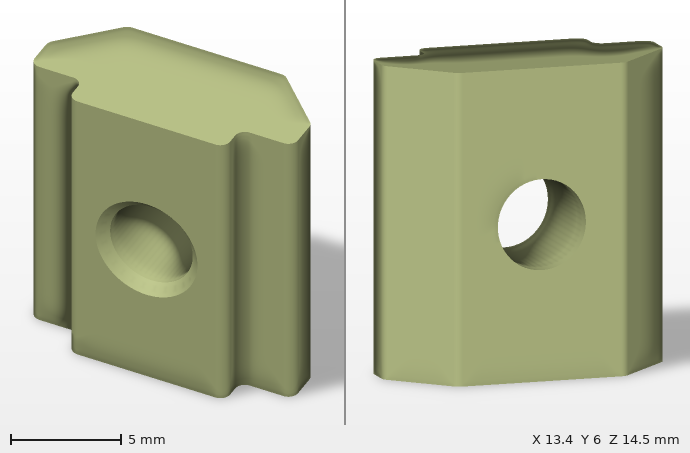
import cadquery as cq

width = 13.4
depth = 6.0
length = 14.5

neck_width = 8.0
neck_height = 1.5
corner_radius = 0.5

hole_diameter = 4.2
countersink_diameter = 5.19
countersink_angle = 90.0

half_width = width / 2
half_neck = neck_width / 2
front = -depth / 2
back = depth / 2
shoulder = front + neck_height
slope_start = back - (half_width - half_neck)


def make_body():
    """Extrude the T profile along Z and round all its lengthwise edges."""
    right_side = [
        (half_neck, front),
        (half_neck, shoulder),
        (half_width, shoulder),
        (half_width, slope_start),
        (half_neck, back),
    ]
    left_side = [(-x, y) for x, y in reversed(right_side)]
    profile = cq.Workplane("XY").workplane(offset=-length / 2)
    body = profile.polyline(right_side + left_side).close().extrude(length)
    return body.edges("|Z").fillet(corner_radius)


def drill_hole(body):
    """Drill the centred countersunk hole from the neck face."""
    neck_face = body.faces("<Y").workplane(centerOption="CenterOfBoundBox")
    return neck_face.cskHole(hole_diameter, countersink_diameter, countersink_angle)


result = drill_hole(make_body())